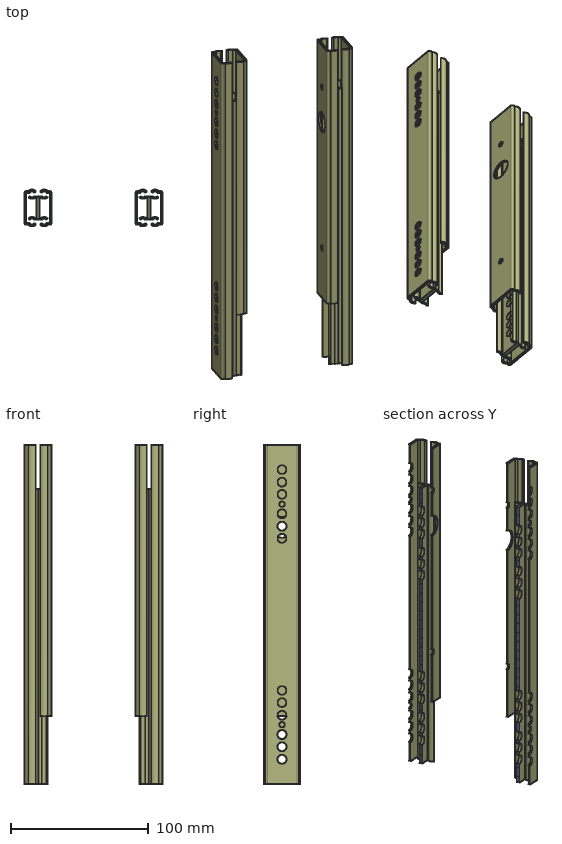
import cadquery as cq
import math

overall_width = 100.0
slide_width = 19.7
rail_length = 246
mid_length = 214.0
short_length = 196.8

race_x = 4.5
race_y = 9.8
ball_radius = 2.1

channel_wall = 1.5
channel_half_width = slide_width / 2
shoulder_y = 12.3
bend_radius = 1.5
lip_angle = 55

web_thickness = 2.5
flange_wall = 1.2
flange_y = 8.5
tip_angle = 48
seam_radius = 0.7

mount_dia = 6.5
locating_dia = 4.0
short_locating_dia = 4.2
access_dia = 15.0
mount_offsets = [18.0, 27.0, 36.0, 50.0, 59.0, 68.0]
locating_offset = 43.0
access_z = 186.2
short_locating_z = [213.5, 88.0]


diagonal = math.sqrt(0.5)


def race_point(radius, angle, side=1):
    """Point on a race circle, on its +Y side (side=1) or -Y side (side=-1).

    The angle is measured from the Y direction, positive towards the mid-plane of the slide.
    """
    a = math.radians(angle)
    return (race_x - radius * math.sin(a), race_y + side * radius * math.cos(a))


def channel_half():
    """Upper half of the channel section, web at +X, lip towards the mid-plane."""
    outer_radius = ball_radius + channel_wall
    inner_y = shoulder_y - channel_wall
    inner_x = channel_half_width - channel_wall
    outer_start = -math.degrees(math.acos((shoulder_y - race_y) / outer_radius))
    inner_start = -math.degrees(math.acos((inner_y - race_y) / ball_radius))
    bend_x = channel_half_width - bend_radius
    bend_y = shoulder_y - bend_radius
    return (
        cq.Workplane("XY")
        .moveTo(channel_half_width, 0)
        .lineTo(channel_half_width, bend_y)
        .threePointArc(
            (bend_x + bend_radius * diagonal, bend_y + bend_radius * diagonal),
            (bend_x, shoulder_y),
        )
        .lineTo(*race_point(outer_radius, outer_start))
        .threePointArc(race_point(outer_radius, 0), race_point(outer_radius, lip_angle))
        .lineTo(*race_point(ball_radius, lip_angle))
        .threePointArc(race_point(ball_radius, 0), race_point(ball_radius, inner_start))
        .lineTo(inner_x, inner_y)
        .lineTo(inner_x, 0)
        .close()
    )


def mid_quarter():
    """Quarter of the mid rail section: half the web and one flange with its race."""
    under_radius = ball_radius + flange_wall
    under_y = flange_y - flange_wall
    top_start = math.degrees(math.acos((race_y - flange_y) / ball_radius))
    under_start = math.degrees(math.acos((race_y - under_y) / under_radius))
    return (
        cq.Workplane("XY")
        .lineTo(web_thickness / 2, 0)
        .lineTo(web_thickness / 2, under_y)
        .lineTo(*race_point(under_radius, under_start, -1))
        .threePointArc(race_point(under_radius, 0, -1), race_point(under_radius, -tip_angle, -1))
        .lineTo(*race_point(ball_radius, -tip_angle, -1))
        .threePointArc(race_point(ball_radius, 0, -1), race_point(ball_radius, top_start, -1))
        .lineTo(seam_radius, flange_y)
        .threePointArc(
            (seam_radius * (1 - diagonal), flange_y - seam_radius * (1 - diagonal)),
            (0, flange_y - seam_radius),
        )
        .close()
    )


def cross_holes(diameter, heights):
    """Cylinders along X that cut every wall they meet."""
    return (
        cq.Workplane("YZ")
        .pushPoints([(0, z) for z in heights])
        .circle(diameter / 2)
        .extrude(slide_width, both=True)
    )


def both_ends(offsets, length):
    """Heights at the given distances from the two ends of a rail."""
    return offsets + [length - offset for offset in offsets]


def channel(length):
    """Channel extrusion standing on Z = 0 with its web at +X."""
    half = channel_half().extrude(length)
    return half.union(half.mirror("XZ"))


def long_rail():
    """Cabinet rail, full length, web at -X."""
    rail = channel(rail_length).mirror("YZ")
    rail = rail.cut(cross_holes(mount_dia, both_ends(mount_offsets, rail_length)))
    return rail.cut(cross_holes(locating_dia, both_ends([locating_offset], rail_length)))


def mid_rail():
    """Intermediate rail between the two channels."""
    half = mid_quarter().extrude(mid_length)
    half = half.union(half.mirror("XZ"))
    rail = half.union(half.mirror("YZ"))
    return rail.cut(cross_holes(mount_dia, both_ends(mount_offsets, mid_length)))


def short_rail():
    """Drawer rail, flush with the top of the long rail, web at +X."""
    rail = channel(short_length).translate((0, 0, rail_length - short_length))
    rail = rail.cut(cross_holes(access_dia, [access_z]))
    return rail.cut(cross_holes(short_locating_dia, short_locating_z))


slide_x = (overall_width - slide_width) / 2
bodies = []
for make_body in (long_rail, mid_rail, short_rail):
    left_body = make_body().translate((-slide_x, 0, 0))
    bodies += [left_body.val(), left_body.mirror("YZ").val()]

result = cq.Compound.makeCompound(bodies)